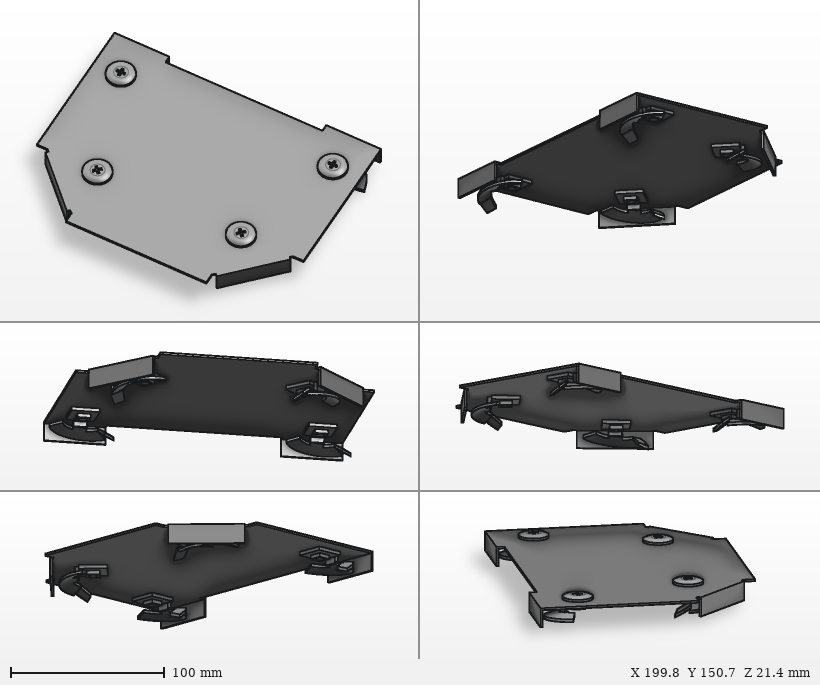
import cadquery as cq
import math

SHEET = 1.5
PANEL_WIDTH = 198.0
PANEL_DEPTH = 150.7
FLANGE_DROP = 13.0
BACK_TAB_WIDTH = 40.8
BACK_RECESS = 5.2
SIDE_LENGTH = 104.7
FRONT_HALF_WIDTH = 52.2
DIAGONAL_FLANGE = 50.0
FLANGE_INSET = 8.0
RELIEF_START = 3.0
RELIEF = 1.5

HALF_WIDTH = PANEL_WIDTH / 2
BACK_Y = PANEL_DEPTH / 2
FRONT_Y = -BACK_Y
SIDE_END_Y = BACK_Y - SIDE_LENGTH
FLANGE_STEP = DIAGONAL_FLANGE * math.sqrt(0.5)
FLANGE_REAR = (HALF_WIDTH - FLANGE_INSET, SIDE_END_Y - RELIEF_START)
FLANGE_FRONT = (FLANGE_REAR[0] - FLANGE_STEP, FLANGE_REAR[1] - FLANGE_STEP)

BACK_SCREW_X = 78.7
BACK_SCREW_Y = BACK_Y - 28.4
FRONT_SCREW_X = 53.4
FRONT_SCREW_Y = BACK_Y - 106.1
FASTENERS = [
    (-BACK_SCREW_X, BACK_SCREW_Y, 0),
    (BACK_SCREW_X, BACK_SCREW_Y, 0),
    (-FRONT_SCREW_X, FRONT_SCREW_Y, 135),
    (FRONT_SCREW_X, FRONT_SCREW_Y, 225),
]

HEAD_RADIUS = 10.0
HEAD_FLAT_RADIUS = 4.8
HEAD_RIM = 1.5
HEAD_HEIGHT = 3.2
DOME_MID = (8.0, 2.7)
SHANK_RADIUS = 3.0
CROSS_LENGTH = 6.0
CROSS_WIDTH = 1.4
CROSS_DEPTH = 1.0

BASE_SIDE = 18.5
BASE_THICKNESS = 2.4
BOSS_SIDE = 8.5
BOSS_HEIGHT = 2.5
LEG_WIDTH = 8.8
LEG_THICKNESS = 2.5
LEG_BOTTOM = -8.2
WING_OUTER = 22.2
WING_INNER = 13.5
WING_HEIGHT = 2.0
WING_EDGE_Z = -10.8
WING_CONE = 20
WING_TILT = 6.5
WING_START, WING_END = 36, 162
NECK_INNER = 10.4
TRIM_DEPTH = -20.0
TAIL_AZIMUTH = 45
TAIL_SLOPE = 35
TAIL_TIP_TOP = -16.0
TAIL_THICKNESS = 1.8
TAIL_PLAN = [(1.8, 14.4), (9.2, 11.8), (12.0, 18.0), (6.2, 21.4), (1.8, 22.0)]

BASE_BOTTOM = -SHEET - BASE_THICKNESS
BOSS_BOTTOM = BASE_BOTTOM - BOSS_HEIGHT


def plate_outline():
    right = [
        (HALF_WIDTH - BACK_TAB_WIDTH, BACK_Y - BACK_RECESS),
        (HALF_WIDTH - BACK_TAB_WIDTH, BACK_Y),
        (HALF_WIDTH, BACK_Y),
        (HALF_WIDTH, SIDE_END_Y),
        (FLANGE_REAR[0], SIDE_END_Y),
        (FLANGE_REAR[0] - RELIEF, FLANGE_REAR[1] + RELIEF),
        FLANGE_REAR,
        FLANGE_FRONT,
        (FLANGE_FRONT[0] - RELIEF, FLANGE_FRONT[1] + RELIEF),
        (FRONT_HALF_WIDTH, FLANGE_FRONT[1]),
        (FRONT_HALF_WIDTH, FRONT_Y),
    ]
    left = [(-x, y) for x, y in reversed(right)]
    return right + left


def make_panel():
    panel = cq.Workplane("XY").polyline(plate_outline()).close().extrude(-SHEET)
    middle_y = (FLANGE_REAR[1] + FLANGE_FRONT[1]) / 2
    middle_x = (FLANGE_REAR[0] + FLANGE_FRONT[0]) / 2
    for side in (-1, 1):
        back_flange = (
            cq.Workplane("XY")
            .box(BACK_TAB_WIDTH, SHEET, FLANGE_DROP, centered=(True, False, False))
            .translate((side * (HALF_WIDTH - BACK_TAB_WIDTH / 2), BACK_Y - SHEET, -FLANGE_DROP))
        )
        diagonal_flange = (
            cq.Workplane("XY")
            .box(DIAGONAL_FLANGE, SHEET, FLANGE_DROP, centered=(True, False, False))
            .rotate((0, 0, 0), (0, 0, 1), side * 45)
            .translate((side * middle_x, middle_y, -FLANGE_DROP))
        )
        panel = panel.union(back_flange).union(diagonal_flange)
    holes = (
        cq.Workplane("XY")
        .pushPoints([(x, y) for x, y, turn in FASTENERS])
        .circle(SHANK_RADIUS)
        .extrude(-SHEET)
    )
    return panel.cut(holes)


def make_screw():
    screw = (
        cq.Workplane("XZ")
        .moveTo(0, BOSS_BOTTOM)
        .lineTo(SHANK_RADIUS, BOSS_BOTTOM)
        .lineTo(SHANK_RADIUS, 0)
        .lineTo(HEAD_RADIUS, 0)
        .lineTo(HEAD_RADIUS, HEAD_RIM)
        .threePointArc(DOME_MID, (HEAD_FLAT_RADIUS, HEAD_HEIGHT))
        .lineTo(0, HEAD_HEIGHT)
        .close()
        .revolve(360, (0, 0), (0, 1))
    )
    slot = (
        cq.Workplane("XY", origin=(0, 0, HEAD_HEIGHT))
        .rect(CROSS_LENGTH, CROSS_WIDTH)
        .extrude(-CROSS_DEPTH)
    )
    return screw.cut(slot).cut(slot.rotate((0, 0, 0), (0, 0, 1), 90))


def make_wing():
    """Tilted sector of a conical sheet, cut back to a narrow neck under the leg."""
    rise = math.tan(math.radians(WING_CONE))
    inner_z = WING_EDGE_Z + (WING_OUTER - NECK_INNER) * rise
    section = [
        (NECK_INNER, inner_z),
        (WING_OUTER, WING_EDGE_Z),
        (WING_OUTER, WING_EDGE_Z - WING_HEIGHT),
        (NECK_INNER, inner_z - WING_HEIGHT),
    ]
    sector = (
        cq.Workplane("XZ")
        .polyline(section)
        .close()
        .revolve(WING_END - WING_START, (0, 0), (0, 1))
        .rotate((0, 0, 0), (0, 0, 1), WING_START)
    )
    neck = cq.Workplane("XY").rect(LEG_WIDTH, 2 * WING_OUTER).extrude(TRIM_DEPTH)
    opening = cq.Workplane("XY").circle(WING_INNER).extrude(TRIM_DEPTH).cut(neck)
    pivot = (0, 0, WING_EDGE_Z)
    return sector.cut(opening).rotate(pivot, (0, 1, WING_EDGE_Z), WING_TILT)


def make_tail():
    """Sloping tongue: a flat inclined sheet trimmed to the tail's plan outline."""
    start = TAIL_PLAN[0][0]
    tip = max(fall for fall, outward in TAIL_PLAN)
    width = max(outward for fall, outward in TAIL_PLAN)
    slope = math.radians(TAIL_SLOPE)
    start_top = TAIL_TIP_TOP + (tip - start) * math.tan(slope)
    height = TAIL_THICKNESS / math.cos(slope)
    sheet = (
        cq.Workplane("XZ")
        .polyline([
            (start, start_top),
            (tip, TAIL_TIP_TOP),
            (tip, TAIL_TIP_TOP - height),
            (start, start_top - height),
        ])
        .close()
        .extrude(-width)
    )
    plan = (
        cq.Workplane("XY", origin=(0, 0, TAIL_TIP_TOP - height))
        .polyline(TAIL_PLAN)
        .close()
        .extrude(-TAIL_TIP_TOP)
    )
    return sheet.intersect(plan).rotate((0, 0, 0), (0, 0, 1), TAIL_AZIMUTH - 90)


def make_clip():
    base = cq.Workplane("XY", origin=(0, 0, -SHEET)).rect(BASE_SIDE, BASE_SIDE).extrude(-BASE_THICKNESS)
    boss = cq.Workplane("XY", origin=(0, 0, BASE_BOTTOM)).rect(BOSS_SIDE, BOSS_SIDE).extrude(-BOSS_HEIGHT)
    leg = (
        cq.Workplane("XY", origin=(0, (BASE_SIDE + LEG_THICKNESS) / 2, -SHEET))
        .rect(LEG_WIDTH, LEG_THICKNESS)
        .extrude(LEG_BOTTOM + SHEET)
    )
    bore = cq.Workplane("XY", origin=(0, 0, BOSS_BOTTOM)).circle(SHANK_RADIUS).extrude(-BOSS_BOTTOM)
    return base.union(boss).union(leg).union(make_wing()).union(make_tail()).cut(bore)


def place(body, x, y, turn):
    return body.rotate((0, 0, 0), (0, 0, 1), turn).translate((x, y, 0))


panel = make_panel()
screw = make_screw()
clip = make_clip()
screws = [place(screw, *spot).solids().val() for spot in FASTENERS]
clips = [place(clip, *spot).solids().val() for spot in FASTENERS]

result = cq.Compound.makeCompound([panel.solids().val(), *screws, *clips])